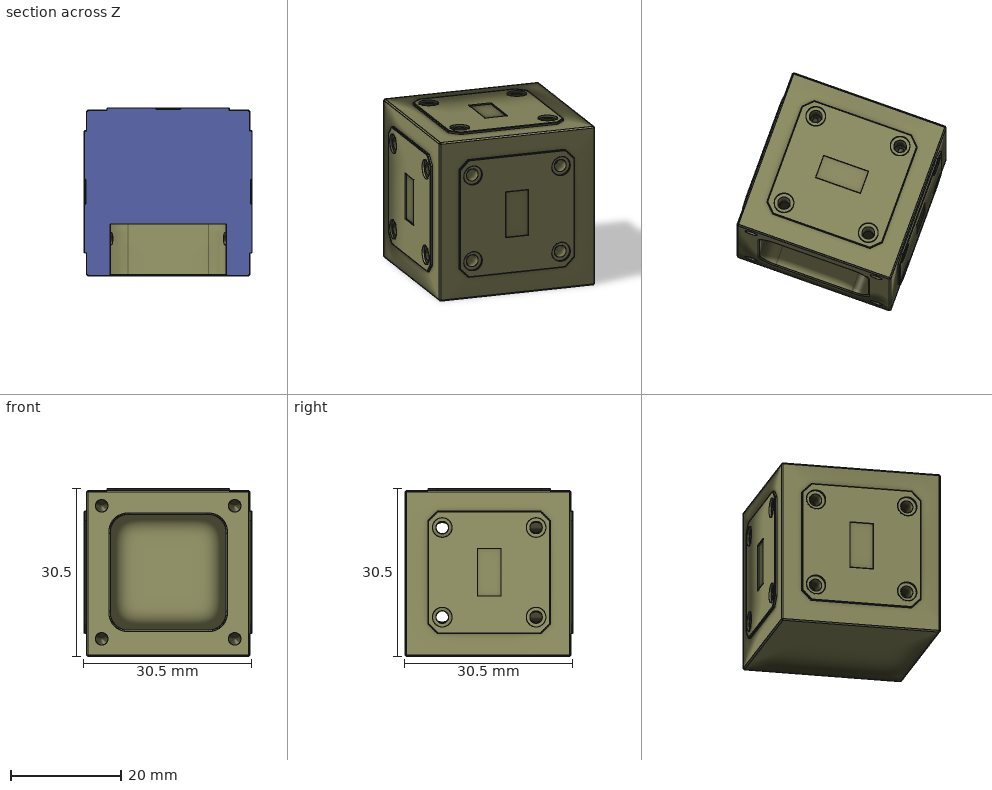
import cadquery as cq
import math

overall = 30.48
half = overall / 2
pad_height = 0.42
block_x = overall - 2 * pad_height
block_y = overall - pad_height
block_z = overall - pad_height
block_chamfer = 0.254

pad_side = 22.225
pad_corner_cut = 1.75
pad_edge_chamfer = 0.127

guide_long = 8.636
guide_short = 4.318
guide_recess = 0.25

screw_long = 8.128
screw_short = 8.509
relief_diameter = 3.556
relief_depth = pad_height

boss_diameter = relief_diameter
boss_length = 8.0

hole_diameter = 2.26
hole_depth = 5.08
drill_tip_angle = 118
hole_radius = hole_diameter / 2
tip_length = hole_radius / math.tan(math.radians(drill_tip_angle / 2))

cavity_side = 21.0
cavity_depth = 9.4
cavity_corner_radius = 3.175
cavity_chamfer = 0.254
cover_screw = 12.065

X_AXIS = (1, 0, 0)
Z_AXIS = (0, 0, 1)


def side_plane(normal, x_direction):
    """Plane on one side of the overall cube, facing outward."""
    origin = tuple(half * component for component in normal)
    return cq.Plane(origin=origin, xDir=x_direction, normal=normal)


def corner_points(along_x, along_y):
    return [(sx * along_x, sy * along_y) for sx in (-1, 1) for sy in (-1, 1)]


def make_block():
    block = cq.Workplane("XY").box(block_x, block_y, block_z)
    block = block.edges().chamfer(block_chamfer)
    return block.translate((0, -pad_height / 2, -pad_height / 2))


def blind_holes(plane, points):
    """Cutters for drilled holes, one per point, with conical tips."""
    profile = [
        (0, 0),
        (hole_radius, 0),
        (hole_radius, -hole_depth),
        (0, -hole_depth - tip_length),
    ]
    drill = cq.Workplane("XZ").polyline(profile).close().revolve(360, (0, 0), (0, 1)).val()
    cutters = cq.Workplane(plane).pushPoints(points)
    return cutters.eachpoint(lambda place: drill.moved(place), useLocalCoordinates=True)


def make_pad(plane):
    pad = cq.Workplane(plane).rect(pad_side, pad_side).extrude(-pad_height)
    pad = pad.edges(cq.selectors.ParallelDirSelector(plane.zDir)).chamfer(pad_corner_cut)
    return pad.faces(cq.selectors.DirectionMinMaxSelector(plane.zDir)).chamfer(pad_edge_chamfer)


def cut_port(body, plane):
    """Cut the waveguide recess, relief rings and screw holes of one port."""
    points = corner_points(screw_long, screw_short)
    guide = cq.Workplane(plane).rect(guide_long, guide_short).extrude(-guide_recess)
    reliefs = cq.Workplane(plane).pushPoints(points).circle(relief_diameter / 2).extrude(-relief_depth)
    return body.cut(guide).cut(reliefs).cut(blind_holes(plane, points))


def add_bosses(body, plane):
    """Fill a round boss below each screw position of one port."""
    points = corner_points(screw_long, screw_short)
    bosses = cq.Workplane(plane).workplane(offset=-relief_depth)
    return body.union(bosses.pushPoints(points).circle(boss_diameter / 2).extrude(-boss_length))


def make_cavity(plane):
    cavity = cq.Workplane(plane).rect(cavity_side, cavity_side).extrude(-cavity_depth)
    return cavity.edges("|Y").fillet(cavity_corner_radius)


def chamfer_mouth(body):
    """Chamfer the rim of the cavity, the only opening on the -Y side so far."""
    rim = body.faces("<Y").val().innerWires()[0]
    return body.newObject(rim.Edges()).chamfer(cavity_chamfer)


side_ports = [
    side_plane((0, 0, 1), X_AXIS),
    side_plane((-1, 0, 0), Z_AXIS),
    side_plane((1, 0, 0), Z_AXIS),
]
rear_port = side_plane((0, 1, 0), Z_AXIS)
cover_plane = side_plane((0, -1, 0), X_AXIS)

result = make_block()
for port in side_ports + [rear_port]:
    result = result.union(make_pad(port))
result = chamfer_mouth(result.cut(make_cavity(cover_plane)))
for port in side_ports:
    result = cut_port(result, port)
result = add_bosses(result, rear_port)
result = cut_port(result, rear_port)
result = result.cut(blind_holes(cover_plane, corner_points(cover_screw, cover_screw)))